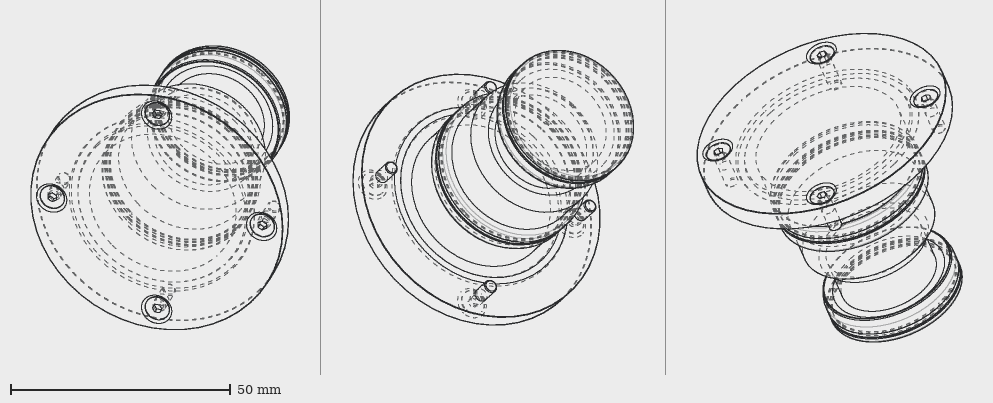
import cadquery as cq
import math

PLATE_RADIUS = 30.0
PLATE_THICKNESS = 4.9
PLATE_CHAMFER = 0.1

SPIGOT_RADIUS = 17.45
SPIGOT_CHAMFER = 0.55
COLLAR_START = 16.45
COLLAR_END = 23.6
COLLAR_RADIUS = 18.0
SLEEVE_RADIUS = 15.95
SLEEVE_END = 33.9
NOSE_END = 37.5
NOSE_RADIUS = 13.2
NOSE_SAG = 0.3
NECK_RADIUS = 11.5
HEAD_START = 47.0
HEAD_CONE_END = 48.9
HEAD_RIM_RADIUS = 15.55
HEAD_RIM_CHAMFER = 0.25
HEAD_RADIUS = SLEEVE_RADIUS
PLUG_LENGTH = 54.0
EDGE_ROUND = 0.6

RECESS_DEPTH = 1.2
RECESS_RIM_RADIUS = 15.1
RECESS_FLOOR_RADIUS = 13.5

SEAL_WIRE_RADIUS = 0.5
SEAL_GROOVE_WIDTH = 1.2
SEAL_GROOVE_CHAMFER = 0.2
COLLAR_SEAL_Y = 20.0
HEAD_SEAL_Y = 51.9

FACE_SEAL_RADIUS = 21.0
FACE_SEAL_WIRE_RADIUS = 1.0
FACE_SEAL_HEIGHT = 0.35

SCREW_COUNT = 4
SCREW_CIRCLE_RADIUS = 24.95
SCREW_RADIUS = 1.5
SCREW_HEAD_RADIUS = 2.9
SCREW_HEAD_LAND = 0.3
SCREW_TIP_Y = 10.4
SCREW_TIP_CHAMFER = 0.25
COUNTERSINK_RADIUS = 3.6
SOCKET_WIDTH = 2.0
SOCKET_CORNER_RADIUS = SOCKET_WIDTH / math.sqrt(3)
SOCKET_DEPTH = 1.5
SOCKET_CONE_DEPTH = 0.5
SCREW_SEAT_Y = COUNTERSINK_RADIUS - SCREW_HEAD_RADIUS
SCREW_HEAD_Y = SCREW_SEAT_Y - SCREW_HEAD_LAND
COUNTERSINK_END_Y = COUNTERSINK_RADIUS - SCREW_RADIUS


def revolve_about_y(profile):
    """Turn a closed profile, drawn as (radius, y), about the Y axis."""
    return profile.close().revolve(360, (0, 0, 0), (0, 1, 0))


def make_ring(radius, wire_radius, y):
    """Torus about the Y axis."""
    wire = cq.Workplane("XY").center(radius, y).circle(wire_radius)
    return wire.revolve(360, (-radius, 0, 0), (-radius, 1, 0))


def place_on_screw_circle(shape):
    """Copies of a shape built on the Y axis, moved to the top position and turned about the Y axis."""
    top_shape = shape.translate((0, 0, SCREW_CIRCLE_RADIUS))
    step = 360 / SCREW_COUNT
    return [top_shape.rotate((0, 0, 0), (0, 1, 0), index * step) for index in range(SCREW_COUNT)]


def make_plug_blank():
    """Plate, spigot, collar, sleeve, neck and head as one turned profile."""
    nose_middle = (
        (SLEEVE_RADIUS + NOSE_RADIUS) / 2 - NOSE_SAG,
        (SLEEVE_END + NOSE_END) / 2 - NOSE_SAG,
    )
    profile = (
        cq.Workplane("XY")
        .lineTo(PLATE_RADIUS - PLATE_CHAMFER, 0)
        .lineTo(PLATE_RADIUS, PLATE_CHAMFER)
        .lineTo(PLATE_RADIUS, PLATE_THICKNESS - PLATE_CHAMFER)
        .lineTo(PLATE_RADIUS - PLATE_CHAMFER, PLATE_THICKNESS)
        .lineTo(SPIGOT_RADIUS, PLATE_THICKNESS)
        .lineTo(SPIGOT_RADIUS, COLLAR_START - SPIGOT_CHAMFER)
        .lineTo(SPIGOT_RADIUS - SPIGOT_CHAMFER, COLLAR_START)
        .lineTo(COLLAR_RADIUS - EDGE_ROUND, COLLAR_START)
        .radiusArc((COLLAR_RADIUS, COLLAR_START + EDGE_ROUND), -EDGE_ROUND)
        .lineTo(COLLAR_RADIUS, COLLAR_END - EDGE_ROUND)
        .radiusArc((COLLAR_RADIUS - EDGE_ROUND, COLLAR_END), -EDGE_ROUND)
        .lineTo(SLEEVE_RADIUS, COLLAR_END)
        .lineTo(SLEEVE_RADIUS, SLEEVE_END)
        .threePointArc(nose_middle, (NOSE_RADIUS, NOSE_END))
        .lineTo(NECK_RADIUS, NOSE_END)
        .lineTo(NECK_RADIUS, HEAD_START + RECESS_DEPTH)
        .lineTo(RECESS_FLOOR_RADIUS, HEAD_START + RECESS_DEPTH)
        .lineTo(RECESS_RIM_RADIUS, HEAD_START)
        .lineTo(HEAD_RIM_RADIUS - HEAD_RIM_CHAMFER, HEAD_START)
        .lineTo(HEAD_RIM_RADIUS, HEAD_START + HEAD_RIM_CHAMFER)
        .lineTo(HEAD_RADIUS, HEAD_CONE_END)
        .lineTo(HEAD_RADIUS, PLUG_LENGTH - EDGE_ROUND)
        .radiusArc((HEAD_RADIUS - EDGE_ROUND, PLUG_LENGTH), -EDGE_ROUND)
        .lineTo(0, PLUG_LENGTH)
    )
    return revolve_about_y(profile)


def make_seal_groove(outer_radius, y):
    """Ring that cuts the groove and its chamfered lips; the seal rests on the groove floor."""
    floor_radius = outer_radius - 2 * SEAL_WIRE_RADIUS
    half_width = SEAL_GROOVE_WIDTH / 2
    half_mouth = half_width + SEAL_GROOVE_CHAMFER
    return revolve_about_y(
        cq.Workplane("XY")
        .moveTo(floor_radius, y - half_width)
        .lineTo(outer_radius - SEAL_GROOVE_CHAMFER, y - half_width)
        .lineTo(outer_radius, y - half_mouth)
        .lineTo(outer_radius, y + half_mouth)
        .lineTo(outer_radius - SEAL_GROOVE_CHAMFER, y + half_width)
        .lineTo(floor_radius, y + half_width)
    )


def make_radial_seal(outer_radius, y):
    return make_ring(outer_radius - SEAL_WIRE_RADIUS, SEAL_WIRE_RADIUS, y)


def make_face_seal():
    y = PLATE_THICKNESS + FACE_SEAL_HEIGHT - FACE_SEAL_WIRE_RADIUS
    return make_ring(FACE_SEAL_RADIUS, FACE_SEAL_WIRE_RADIUS, y)


def make_screw_hole():
    """Countersink and clearance hole through the plate."""
    return revolve_about_y(
        cq.Workplane("XY")
        .lineTo(COUNTERSINK_RADIUS, 0)
        .lineTo(SCREW_RADIUS, COUNTERSINK_END_Y)
        .lineTo(SCREW_RADIUS, PLATE_THICKNESS)
        .lineTo(0, PLATE_THICKNESS)
    )


def make_screw():
    """Countersunk screw with a straight land on its head and a hexagon socket that ends in a cone."""
    blank = revolve_about_y(
        cq.Workplane("XY")
        .moveTo(0, SCREW_HEAD_Y)
        .lineTo(SCREW_HEAD_RADIUS, SCREW_HEAD_Y)
        .lineTo(SCREW_HEAD_RADIUS, SCREW_SEAT_Y)
        .lineTo(SCREW_RADIUS, COUNTERSINK_END_Y)
        .lineTo(SCREW_RADIUS, SCREW_TIP_Y - SCREW_TIP_CHAMFER)
        .lineTo(SCREW_RADIUS - SCREW_TIP_CHAMFER, SCREW_TIP_Y)
        .lineTo(0, SCREW_TIP_Y)
    )
    hexagon = (
        cq.Workplane("XZ", origin=(0, SCREW_HEAD_Y, 0))
        .polygon(6, 2 * SOCKET_CORNER_RADIUS)
        .extrude(-SOCKET_DEPTH - SOCKET_CONE_DEPTH)
    )
    pointed_bore = revolve_about_y(
        cq.Workplane("XY")
        .moveTo(0, SCREW_HEAD_Y)
        .lineTo(SOCKET_CORNER_RADIUS, SCREW_HEAD_Y)
        .lineTo(SOCKET_CORNER_RADIUS, SCREW_HEAD_Y + SOCKET_DEPTH)
        .lineTo(0, SCREW_HEAD_Y + SOCKET_DEPTH + SOCKET_CONE_DEPTH)
    )
    return blank.cut(hexagon.intersect(pointed_bore))


collar_seal = make_radial_seal(COLLAR_RADIUS, COLLAR_SEAL_Y)
head_seal = make_radial_seal(HEAD_RADIUS, HEAD_SEAL_Y)
face_seal = make_face_seal()

plug = make_plug_blank()
plug = plug.cut(make_seal_groove(COLLAR_RADIUS, COLLAR_SEAL_Y))
plug = plug.cut(make_seal_groove(HEAD_RADIUS, HEAD_SEAL_Y))
plug = plug.cut(face_seal)
for screw_hole in place_on_screw_circle(make_screw_hole()):
    plug = plug.cut(screw_hole)

screws = place_on_screw_circle(make_screw())

result = cq.Compound.makeCompound([
    plug.val(),
    collar_seal.val(),
    head_seal.val(),
    face_seal.val(),
    *[screw.val() for screw in screws],
])